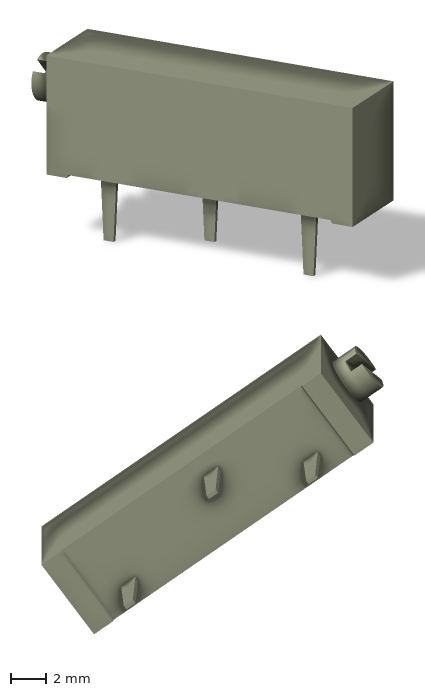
import cadquery as cq

total_length = 20.95
total_height = 10.91

housing_width = 5.07
housing_height = 7.12
screw_length = 1.53
relief_depth = 0.19
foot_length = 1.3
foot_slope = 0.1

screw_diameter = 2.79
screw_axis_drop = 2.28
slot_width = 0.75
slot_depth = 0.78
slot_angle = 45.0

grid_pitch = 2.53
first_pin_x = 4.9
pin_grid_columns = (0, 2, 5)
pin_row_sides = (-1, 1, -1)
pin_row_spacing = 2.58
pin_thickness = 0.25
pin_root_width = 1.0
pin_tip_width = 0.63

pin_tip_z = housing_height - total_height
screw_axis_z = housing_height - screw_axis_drop


def make_housing():
    """Block whose underside is relieved across its full width between the feet."""
    left = screw_length
    right = total_length
    relief_inset = foot_length + foot_slope
    profile = [
        (left, 0),
        (left + foot_length, 0),
        (left + relief_inset, relief_depth),
        (right - relief_inset, relief_depth),
        (right - foot_length, 0),
        (right, 0),
        (right, housing_height),
        (left, housing_height),
    ]
    return cq.Workplane("XZ").polyline(profile).close().extrude(housing_width / 2, both=True)


def make_screw():
    """Round screw head on the housing end, with a diagonal driver slot in its outer face."""
    end_plane = cq.Workplane("YZ").center(0, screw_axis_z)
    head = end_plane.circle(screw_diameter / 2).extrude(screw_length)
    slot = (
        end_plane.transformed(rotate=(0, 0, -slot_angle))
        .rect(2 * screw_diameter, slot_width)
        .extrude(slot_depth)
    )
    return head.cut(slot)


def make_pin(column, side):
    """Flat blade that tapers in X from the relief down to its tip."""
    x = first_pin_x + column * grid_pitch
    y = side * pin_row_spacing / 2
    profile = [
        (x - pin_root_width / 2, relief_depth),
        (x + pin_root_width / 2, relief_depth),
        (x + pin_tip_width / 2, pin_tip_z),
        (x - pin_tip_width / 2, pin_tip_z),
    ]
    blade = cq.Workplane("XZ").polyline(profile).close().extrude(pin_thickness / 2, both=True)
    return blade.translate((0, y, 0))


housing = make_housing()
screw = make_screw()
pins = [make_pin(column, side) for column, side in zip(pin_grid_columns, pin_row_sides)]

result = cq.Compound.makeCompound([housing.val(), screw.val(), *[pin.val() for pin in pins]])